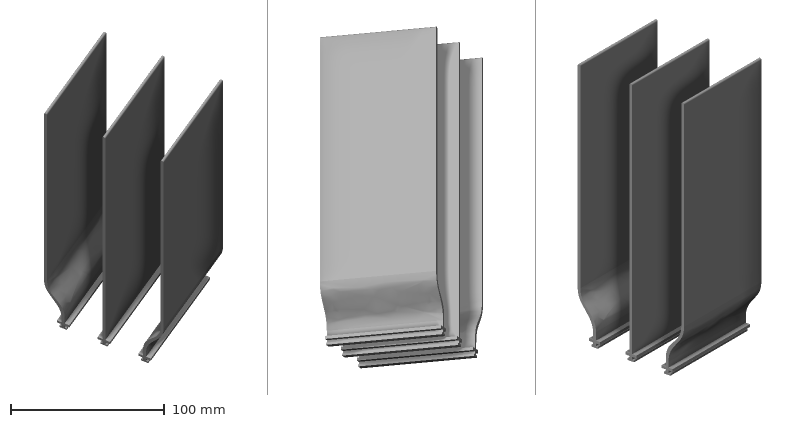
import cadquery as cq

height = 203.8
outer_width = 88.5
depth = 80.5

sheet_thickness = 2.2

foot_width = 5.3
foot_height = 1.5
flange_width = 9.2
flange_bottom = 3.5
flange_top = 5.5

base_spacing = 30.2
outer_bend_bottom = 9.8
inner_bend_bottom = 11.8
bend_top = 39.7
bend_handle = 14.3

half_sheet = sheet_thickness / 2
round_start = height - half_sheet
sheet_offset = outer_width / 2 - half_sheet


def centered_plate(center_x, width, bottom, top):
    """Plate over the full depth, centred on center_x."""
    return cq.Workplane("XY").box(width, depth, top - bottom, centered=(True, True, False)).translate(
        (center_x, 0, bottom)
    )


def add_rails(sheet, center_x):
    """Join the foot and the flange to the bottom of a sheet."""
    foot = centered_plate(center_x, foot_width, 0, foot_height)
    flange = centered_plate(center_x, flange_width, flange_bottom, flange_top)
    return sheet.union(foot).union(flange)


def straight_sheet():
    """Flat sheet on the centre plane with a fully rounded top edge."""
    return (
        cq.Workplane("XZ")
        .moveTo(half_sheet, 0)
        .lineTo(half_sheet, round_start)
        .threePointArc((0, height), (-half_sheet, round_start))
        .lineTo(-half_sheet, 0)
        .close()
        .extrude(depth)
        .translate((0, depth / 2, 0))
    )


def bent_sheet():
    """Sheet on the +X side with an S-bend; its inward face leaves the vertical higher up."""
    inner_base = base_spacing - half_sheet
    inner_top = sheet_offset - half_sheet
    outer_base = base_spacing + half_sheet
    outer_top = sheet_offset + half_sheet
    outer_handle = outer_bend_bottom + bend_handle
    inner_handle = inner_bend_bottom + bend_handle
    upper_handle = bend_top - bend_handle
    return (
        cq.Workplane("XZ")
        .moveTo(outer_base, 0)
        .lineTo(outer_base, outer_bend_bottom)
        .bezier(
            [(outer_base, outer_handle), (outer_top, upper_handle), (outer_top, bend_top)],
            includeCurrent=True,
        )
        .lineTo(outer_top, round_start)
        .threePointArc((sheet_offset, height), (inner_top, round_start))
        .lineTo(inner_top, bend_top)
        .bezier(
            [(inner_top, upper_handle), (inner_base, inner_handle), (inner_base, inner_bend_bottom)],
            includeCurrent=True,
        )
        .lineTo(inner_base, 0)
        .close()
        .extrude(depth)
        .translate((0, depth / 2, 0))
    )


def middle_divider():
    """Straight divider on the centre plane."""
    return add_rails(straight_sheet(), 0)


def outer_divider(turn):
    """Bent divider, turned about Z to its side of the middle one."""
    divider = add_rails(bent_sheet(), base_spacing)
    return divider.rotate((0, 0, 0), (0, 0, 1), turn)


middle = middle_divider()
outer_dividers = [outer_divider(turn) for turn in (0, 180)]

result = cq.Compound.makeCompound([middle.val(), *[divider.val() for divider in outer_dividers]])